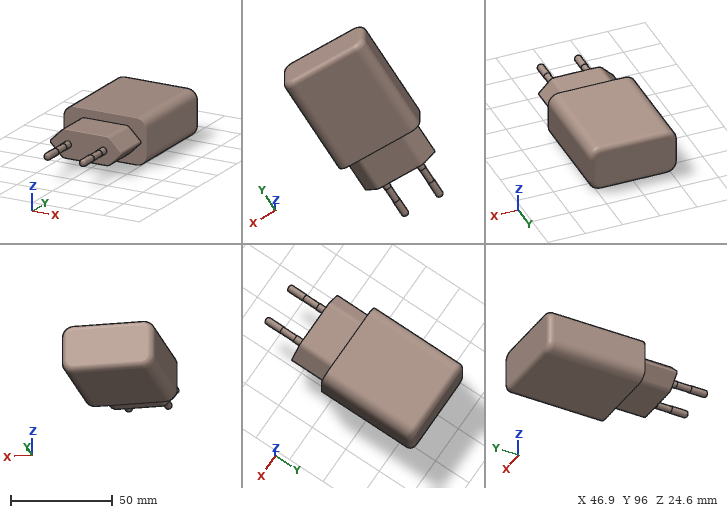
import cadquery as cq

TOTAL_LENGTH = 96.05
BODY_WIDTH = 46.9
BODY_HEIGHT = 24.6
BODY_LENGTH = 54.0
BODY_CORNER_RADIUS = 5.9
BODY_BACK_FILLET = 3.0
BODY_FRONT_FILLET = 0.2

PLUG_LENGTH = 20.0
PLUG_HEIGHT = 15.2
PLUG_TIP_X = 20.6
PLUG_FLAT_HALF_WIDTH = PLUG_TIP_X - PLUG_HEIGHT / 2
PLUG_SHOULDER_RADIUS = 3.7
PLUG_TIP_RADIUS = 1.1
PLUG_FRONT_FILLET = 0.3

PIN_LENGTH = TOTAL_LENGTH - BODY_LENGTH - PLUG_LENGTH
PIN_SPACING = 20.0
PIN_DIAMETER = 3.7
PIN_BASE_LENGTH = 4.6
NECK_LENGTH = 8.1
NECK_DIAMETER = 3.5
PIN_TIP_FILLET = 1.25

PLUG_FACE_Y = -PLUG_LENGTH


def make_body():
    """Rounded box with a generous fillet at the back."""
    body = cq.Workplane("XY").box(BODY_WIDTH, BODY_LENGTH, BODY_HEIGHT)
    body = body.translate((0, BODY_LENGTH / 2, 0))
    body = body.edges("|Y").fillet(BODY_CORNER_RADIUS)
    body = body.faces(">Y").edges().fillet(BODY_BACK_FILLET)
    return body.faces("<Y").edges().fillet(BODY_FRONT_FILLET)


def make_plug():
    """Six-sided plug with rounded shoulders and side tips."""
    half_height = PLUG_HEIGHT / 2
    corners = [
        (PLUG_TIP_X, 0),
        (PLUG_FLAT_HALF_WIDTH, half_height),
        (-PLUG_FLAT_HALF_WIDTH, half_height),
        (-PLUG_TIP_X, 0),
        (-PLUG_FLAT_HALF_WIDTH, -half_height),
        (PLUG_FLAT_HALF_WIDTH, -half_height),
    ]
    plug = cq.Workplane("XZ").polyline(corners).close().extrude(PLUG_LENGTH)
    plug = plug.edges("|Y and (>Z or <Z)").fillet(PLUG_SHOULDER_RADIUS)
    plug = plug.edges("|Y and (>X or <X)").fillet(PLUG_TIP_RADIUS)
    return plug.faces("<Y").edges().fillet(PLUG_FRONT_FILLET)


def make_pin(x):
    """Round pin with a slightly thinner neck and a rounded tip."""
    start = cq.Workplane("XZ", origin=(x, PLUG_FACE_Y, 0))
    pin = start.circle(PIN_DIAMETER / 2).extrude(PIN_LENGTH)
    pin = pin.faces("<Y").edges().fillet(PIN_TIP_FILLET)
    neck_start = start.workplane(offset=PIN_BASE_LENGTH)
    groove = neck_start.circle(PIN_DIAMETER / 2).circle(NECK_DIAMETER / 2).extrude(NECK_LENGTH)
    return pin.cut(groove)


result = make_body().union(make_plug())
for side in (-1, 1):
    result = result.union(make_pin(side * PIN_SPACING / 2))